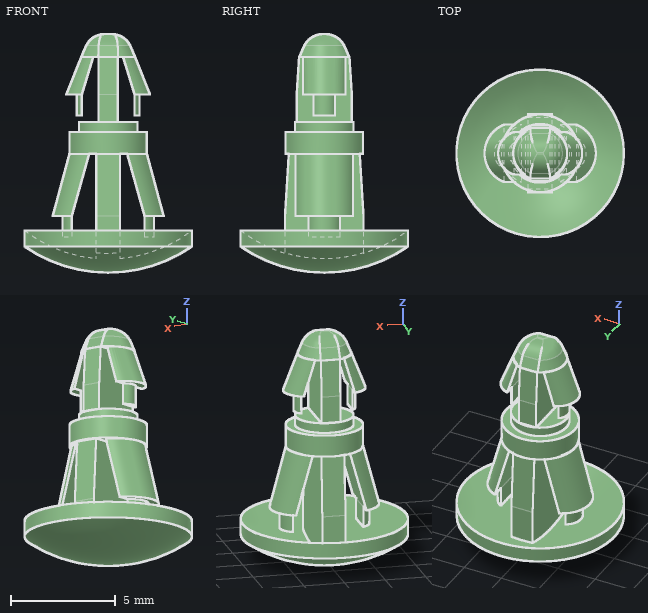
import cadquery as cq

rim_bottom = 1.25
rim_top = 2.02
lower_barb_bottom = 2.7
collar_bottom = 5.68
collar_top = 6.73
disc_top = 7.2
upper_barb_bottom = 8.5
nose_base = 10.29
nose_shoulder = 10.84
nose_top = 11.4

foot_radius = 8.0 / 2
collar_radius = 3.7 / 2
disc_radius = 2.8 / 2
dish_depth = 1.37

lower_web_half_thickness = 0.57
lower_web_half_width = 1.88
lower_web_top_half_width = 1.7
upper_web_half_thickness = 0.47
upper_web_half_width = 1.32
upper_web_top_half_width = 1.21

lower_barb_half_width = 1.37
lower_barb_top_inner = 0.9
lower_barb_inner = 1.73
lower_barb_tip = 2.66
lower_pin_half_width = 0.74
lower_pin_tip = 2.19

upper_barb_half_width = 1.01
upper_barb_top_inner = 0.71
upper_barb_inner = 1.25
upper_barb_tip = 2.01
upper_pin_half_width = 0.5
upper_pin_tip = 1.5

pin_length = 1.0

nose_base_radius = 1.29
nose_shoulder_radius = 1.06
nose_top_radius = 0.16
nose_base_half_depth = 1.2
nose_shoulder_half_depth = 0.96
nose_top_half_depth = 0.03
nose_round_offset = 0.7
nose_round_rise = 0.6


def disc(radius, bottom, top):
    return cq.Workplane("XY").workplane(offset=bottom).circle(radius).extrude(top - bottom)


def tapered_web(half_thickness, half_width, top_half_width, bottom, taper_start, top):
    return (
        cq.Workplane("YZ")
        .moveTo(-half_width, bottom)
        .lineTo(half_width, bottom)
        .lineTo(half_width, taper_start)
        .lineTo(top_half_width, top)
        .lineTo(-top_half_width, top)
        .lineTo(-half_width, taper_start)
        .close()
        .extrude(half_thickness, both=True)
    )


def add_round_section(plane, inner, tip, half_width):
    """Flat inner edge closed by an outer arc."""
    return (
        plane.moveTo(inner, -half_width)
        .threePointArc((tip, 0), (inner, half_width))
        .close()
    )


def barb(inner, tip, half_width, bottom, top_inner, top_tip, top):
    """Barb that leans outward toward its lower end."""
    lower_plane = cq.Workplane("XY").workplane(offset=bottom)
    lower_section = add_round_section(lower_plane, inner, tip, half_width)
    upper_plane = lower_section.workplane(offset=top - bottom)
    return add_round_section(upper_plane, top_inner, top_tip, half_width).loft(ruled=True)


def barb_pin(inner, tip, half_width, top):
    """Pin hanging below a barb, with a flat inner side and a rounded outer side."""
    plane = cq.Workplane("XY").workplane(offset=top - pin_length)
    return add_round_section(plane, inner, tip, half_width).extrude(pin_length)


def add_on_both_sides(body, feature):
    for angle in (0, 180):
        body = body.union(feature.rotate((0, 0, 0), (0, 0, 1), angle))
    return body


def arc_rise(depth, radius):
    """Height above its lowest point, at a given radius, of a bowl that meets the foot's edge."""
    bowl_radius = (foot_radius**2 + depth**2) / (2 * depth)
    return bowl_radius - (bowl_radius**2 - radius**2) ** 0.5


def dished_foot():
    middle_radius = foot_radius / 2
    underside_middle = arc_rise(rim_bottom, middle_radius)
    dish_floor = rim_top - dish_depth
    floor_middle = dish_floor + arc_rise(dish_depth, middle_radius)
    return (
        cq.Workplane("XZ")
        .moveTo(0, 0)
        .threePointArc((middle_radius, underside_middle), (foot_radius, rim_bottom))
        .lineTo(foot_radius, rim_top)
        .threePointArc((middle_radius, floor_middle), (0, dish_floor))
        .close()
        .revolve(360, (0, 0), (0, 1))
    )


def nose_half_outline(plane, base, shoulder, top):
    middle = top + nose_round_offset * (shoulder - top)
    middle_height = nose_shoulder + nose_round_rise * (nose_top - nose_shoulder)
    return (
        cq.Workplane(plane)
        .moveTo(0, nose_base)
        .lineTo(base, nose_base)
        .lineTo(shoulder, nose_shoulder)
        .threePointArc((middle, middle_height), (top, nose_top))
        .lineTo(0, nose_top)
        .close()
    )


def nose():
    round_nose = nose_half_outline(
        "XZ", nose_base_radius, nose_shoulder_radius, nose_top_radius
    ).revolve(360, (0, 0), (0, 1))
    half_trim = nose_half_outline(
        "YZ", nose_base_half_depth, nose_shoulder_half_depth, nose_top_half_depth
    ).extrude(nose_base_radius, both=True)
    trim = half_trim.union(half_trim.mirror("XZ"))
    return round_nose.intersect(trim)


def build_base():
    """Dished foot, lower web, lower barbs with pins, and the collar."""
    web_bottom = rim_top - dish_depth
    base = dished_foot().union(disc(collar_radius, collar_bottom, collar_top))
    web = tapered_web(
        lower_web_half_thickness,
        lower_web_half_width,
        lower_web_top_half_width,
        web_bottom,
        lower_barb_bottom,
        collar_bottom,
    )
    side_barb = barb(
        lower_barb_inner,
        lower_barb_tip,
        lower_barb_half_width,
        lower_barb_bottom,
        lower_barb_top_inner,
        collar_radius,
        collar_bottom,
    )
    pin = barb_pin(lower_barb_inner, lower_pin_tip, lower_pin_half_width, lower_barb_bottom)
    return add_on_both_sides(base.union(web), side_barb.union(pin))


def build_snap_head():
    """Disc resting on the collar, upper web, nose, and upper barbs with pins."""
    head = disc(disc_radius, collar_top, disc_top).union(nose())
    web = tapered_web(
        upper_web_half_thickness,
        upper_web_half_width,
        upper_web_top_half_width,
        disc_top,
        upper_barb_bottom,
        nose_base,
    )
    side_barb = barb(
        upper_barb_inner,
        upper_barb_tip,
        upper_barb_half_width,
        upper_barb_bottom,
        upper_barb_top_inner,
        nose_base_radius,
        nose_base,
    )
    pin = barb_pin(upper_barb_inner, upper_pin_tip, upper_pin_half_width, upper_barb_bottom)
    return add_on_both_sides(head.union(web), side_barb.union(pin))


base = build_base()
snap_head = build_snap_head()
result = cq.Compound.makeCompound([base.val(), snap_head.val()])